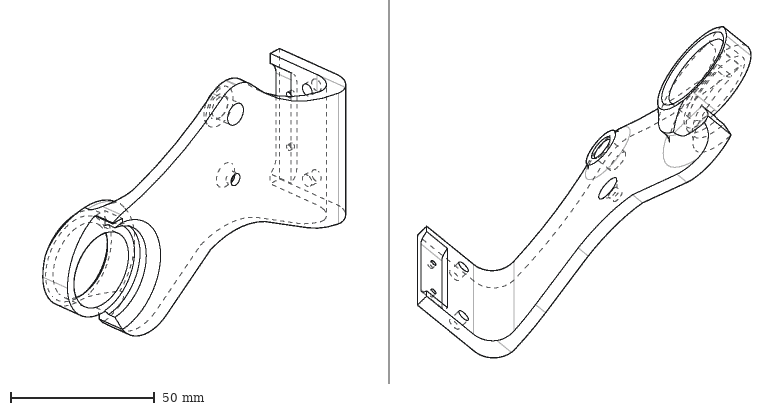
import cadquery as cq
import math

WIDTH = 36.8
LENGTH = 140.5
WALL = 4.8
PLATE_FACE = WIDTH - WALL
BEND_RADIUS = 10.0
OVERSHOOT = 1.4

FLANGE_BOTTOM = 2.1
FLANGE_TOP = 54.2
FLANGE_MID = (FLANGE_BOTTOM + FLANGE_TOP) / 2
POCKET_WIDTH = 9.8
POCKET_HEIGHT = 44.1
POCKET_DEPTH = 3.0
POCKET_END_RUN = 5.0
PIN_X = 6.0
PIN_SPACING = 21.1
PIN_DIAMETER = 2.1
SCREW_X = 17.4
SCREW_SPACING = 36.2
SCREW_DIAMETER = 4.5

RING_Y = 17.4
RING_Z = 28.2
RING_RADIUS = 17.4
RING_FRONT = 16.9
RING_BACK = 28.5
BORE_RADIUS = 14.0
BORE_CHAMFER = 1.8
CONE_RADIUS = 18.0
CONE_HEIGHT = 5.8
BOSS_RADIUS = CONE_RADIUS + CONE_HEIGHT
BOSS_FILLET = 7.9
CROWN_RADIUS = 26.0

RECESS_RADIUS = 21.5
OPENING_RADIUS = 23.0
RECESS_NECK = 18.0
RECESS_FLOOR_RADIUS = 17.1
RECESS_FLOOR_BEVEL = 1.8
LOBE_END_Y = 19.2
LOBE_FACE = 25.9
STEP_FILLET = 2.8
PLATE_END_Y = 14.3
PLATE_END_FILLET = 0.8

LOBE_RADIUS = 16.2
LOBE_Y = 32.5
LOBE_SLOPE = math.radians(36)

LOWER_CURVE_START_Y = 132.0
LOWER_CURVE_MID = (123.6, 3.8)
LOWER_CURVE_END = (114.6, 7.5)
ARCH_START = (92.7, 19.1)
ARCH_TOP_Z = 22.2
ARCH_END = (64.8, 19.7)
RING_SIDE_SAG = (44.7, 62.1)
EYE_RING_SIDE = (70.8, 77.8)
EYE_FLANGE_SIDE = (86.4, 76.3)
FLANGE_SIDE_SAG = (103.0, 63.5)
CROWN_START_ANGLE = math.radians(73)

EYE_Y = 77.5
EYE_Z = 68.4
EYE_FRONT = 28.8
EYE_FACE_RADIUS = 7.6
EYE_OUTER_RADIUS = 11.7
EYE_HOLE_RADIUS = 4.1
EYE_CHAMFER = 0.7
SINK_Z = 42.3
SINK_HOLE_RADIUS = 2.2
SINK_RADIUS = 4.6


def revolve_about_x(profile, y, z):
    """Revolve a closed (x, radius) profile about an axis along X through (y, z)."""
    return profile.close().revolve(360, (0, 0), (1, 0)).translate((0, y, z))


def cylinder_x(radius, x_start, x_end, y, z):
    return cq.Workplane("YZ", origin=(x_start, y, z)).circle(radius).extrude(x_end - x_start)


def box(x_range, y_range, z_range):
    size = [end - start for start, end in (x_range, y_range, z_range)]
    corner = (x_range[0], y_range[0], z_range[0])
    return cq.Workplane("XY").box(*size, centered=False).translate(corner)


def make_outline():
    """Side outline of the whole bracket, extruded across its width."""
    diagonal = math.sqrt(0.5)
    crown_y = CROWN_RADIUS
    ring_bottom = RING_Z - RING_RADIUS
    lobe_end_z = LOBE_RADIUS - math.sqrt(LOBE_RADIUS**2 - (LOBE_Y - LOBE_END_Y) ** 2)
    lobe_tangent = (
        LOBE_Y + LOBE_RADIUS * math.sin(LOBE_SLOPE),
        LOBE_RADIUS * (1 - math.cos(LOBE_SLOPE)),
    )
    crown_start = (
        crown_y - CROWN_RADIUS * math.cos(CROWN_START_ANGLE),
        RING_Z + CROWN_RADIUS * math.sin(CROWN_START_ANGLE),
    )
    return (
        cq.Workplane("YZ")
        .moveTo(LENGTH, FLANGE_BOTTOM)
        .lineTo(LOWER_CURVE_START_Y, FLANGE_BOTTOM)
        .threePointArc(LOWER_CURVE_MID, LOWER_CURVE_END)
        .lineTo(*ARCH_START)
        .threePointArc((EYE_Y, ARCH_TOP_Z), ARCH_END)
        .lineTo(*lobe_tangent)
        .threePointArc((LOBE_Y, 0), (LOBE_END_Y, lobe_end_z))
        .lineTo(LOBE_END_Y, ring_bottom)
        .lineTo(RING_Y, ring_bottom)
        .threePointArc(
            (RING_Y - RING_RADIUS * diagonal, RING_Z - RING_RADIUS * diagonal),
            (RING_Y - RING_RADIUS, RING_Z),
        )
        .threePointArc(
            (crown_y - CROWN_RADIUS * diagonal, RING_Z + CROWN_RADIUS * diagonal), crown_start
        )
        .threePointArc(RING_SIDE_SAG, EYE_RING_SIDE)
        .threePointArc((EYE_Y, EYE_Z + EYE_OUTER_RADIUS), EYE_FLANGE_SIDE)
        .threePointArc(FLANGE_SIDE_SAG, (LENGTH - WALL, FLANGE_TOP))
        .lineTo(LENGTH, FLANGE_TOP)
        .close()
        .extrude(WIDTH)
    )


def make_bent_sheet():
    """L-shaped section of plate and flange, tall enough to be trimmed by the outline."""
    height = EYE_Z + EYE_OUTER_RADIUS
    bend_y = LENGTH - WALL
    return (
        cq.Workplane("XY")
        .moveTo(0, LENGTH)
        .lineTo(WIDTH - BEND_RADIUS, LENGTH)
        .radiusArc((WIDTH, LENGTH - BEND_RADIUS), BEND_RADIUS)
        .lineTo(WIDTH, 0)
        .lineTo(PLATE_FACE, 0)
        .lineTo(PLATE_FACE, bend_y - BEND_RADIUS)
        .radiusArc((PLATE_FACE - BEND_RADIUS, bend_y), -BEND_RADIUS)
        .lineTo(0, bend_y)
        .close()
        .extrude(height)
    )


def make_ring_boss():
    """Conical boss that flows into the plate, cut back to a step over the lower lobe."""
    boss = revolve_about_x(
        cq.Workplane("XY")
        .moveTo(RING_FRONT, 0)
        .lineTo(RING_FRONT, CONE_RADIUS)
        .lineTo(RING_FRONT + CONE_HEIGHT, BOSS_RADIUS)
        .lineTo(PLATE_FACE - BOSS_FILLET, BOSS_RADIUS)
        .radiusArc((PLATE_FACE, BOSS_RADIUS + BOSS_FILLET), -BOSS_FILLET)
        .lineTo(WIDTH, BOSS_RADIUS + BOSS_FILLET)
        .lineTo(WIDTH, 0),
        RING_Y,
        RING_Z,
    )
    step_top = RING_Z - RING_RADIUS
    step = (
        cq.Workplane("XZ", origin=(0, LENGTH, 0))
        .moveTo(0, step_top)
        .lineTo(LOBE_FACE - STEP_FILLET, step_top)
        .radiusArc((LOBE_FACE, step_top - STEP_FILLET), STEP_FILLET)
        .lineTo(LOBE_FACE, -OVERSHOOT - BOSS_RADIUS)
        .lineTo(0, -OVERSHOOT - BOSS_RADIUS)
        .close()
        .extrude(LENGTH - RING_Y)
    )
    return boss.cut(step)


def make_recess():
    """Flared recess behind the ring, opened wider toward the free end."""
    flare = RECESS_RADIUS - RECESS_NECK
    flared = revolve_about_x(
        cq.Workplane("XY")
        .moveTo(RING_BACK, 0)
        .lineTo(RING_BACK, RECESS_FLOOR_RADIUS)
        .lineTo(RING_BACK + RECESS_FLOOR_BEVEL, RECESS_NECK)
        .lineTo(WIDTH - flare, RECESS_NECK)
        .lineTo(WIDTH, RECESS_RADIUS)
        .lineTo(WIDTH, 0),
        RING_Y,
        RING_Z,
    )
    opening = cylinder_x(OPENING_RADIUS, RING_BACK, WIDTH, RING_Y, RING_Z)
    free_end = box((0, WIDTH), (-LENGTH, LOBE_END_Y), (-LENGTH, LENGTH))
    clearance = box((RING_BACK, WIDTH), (-OVERSHOOT, PLATE_END_Y), (0, LENGTH))
    clearance = clearance.edges("<X and >Y").fillet(PLATE_END_FILLET)
    return flared.union(opening.intersect(free_end)).union(clearance)


def make_bore():
    chamfer_end = RING_FRONT + BORE_CHAMFER
    return revolve_about_x(
        cq.Workplane("XY")
        .moveTo(RING_FRONT, 0)
        .lineTo(RING_FRONT, BORE_RADIUS + BORE_CHAMFER)
        .lineTo(chamfer_end, BORE_RADIUS)
        .lineTo(WIDTH, BORE_RADIUS)
        .lineTo(WIDTH, 0),
        RING_Y,
        RING_Z,
    )


def make_eye():
    rise = PLATE_FACE - EYE_FRONT
    flare = EYE_OUTER_RADIUS - EYE_FACE_RADIUS
    return revolve_about_x(
        cq.Workplane("XY")
        .moveTo(EYE_FRONT, 0)
        .lineTo(EYE_FRONT, EYE_FACE_RADIUS)
        .radiusArc((PLATE_FACE, EYE_OUTER_RADIUS), -max(rise, flare))
        .lineTo(WIDTH, EYE_OUTER_RADIUS)
        .lineTo(WIDTH, 0),
        EYE_Y,
        EYE_Z,
    )


def countersunk_hole(face_x, face_radius, hole_radius, y, z):
    """Through hole along X with a 45 degree countersink at face_x."""
    sink_end = face_x + face_radius - hole_radius
    return revolve_about_x(
        cq.Workplane("XY")
        .moveTo(face_x, 0)
        .lineTo(face_x, face_radius)
        .lineTo(sink_end, hole_radius)
        .lineTo(WIDTH + OVERSHOOT, hole_radius)
        .lineTo(WIDTH + OVERSHOOT, 0),
        y,
        z,
    )


def make_pocket():
    """Shallow flange pocket with curved ends, open at the flange tip."""
    face_y = LENGTH - WALL
    floor_y = face_y + POCKET_DEPTH
    bottom = FLANGE_MID - POCKET_HEIGHT / 2
    top = FLANGE_MID + POCKET_HEIGHT / 2
    end_radius = (POCKET_END_RUN**2 + POCKET_DEPTH**2) / (2 * POCKET_DEPTH)
    return (
        cq.Workplane("YZ")
        .moveTo(face_y, bottom)
        .radiusArc((floor_y, bottom + POCKET_END_RUN), -end_radius)
        .lineTo(floor_y, top - POCKET_END_RUN)
        .radiusArc((face_y, top), -end_radius)
        .close()
        .extrude(POCKET_WIDTH)
    )


def flange_holes(x, spacing, diameter):
    """Pair of through holes along Y, centred on the flange height."""
    return (
        cq.Workplane("XZ", origin=(x, LENGTH + OVERSHOOT, FLANGE_MID))
        .pushPoints([(0, -spacing / 2), (0, spacing / 2)])
        .circle(diameter / 2)
        .extrude(WALL + 2 * OVERSHOOT)
    )


body = make_bent_sheet().union(make_ring_boss()).union(make_eye())
body = body.intersect(make_outline())
body = body.cut(make_recess()).cut(make_bore())
body = body.cut(
    countersunk_hole(EYE_FRONT, EYE_HOLE_RADIUS + EYE_CHAMFER, EYE_HOLE_RADIUS, EYE_Y, EYE_Z)
)
body = body.cut(countersunk_hole(PLATE_FACE, SINK_RADIUS, SINK_HOLE_RADIUS, EYE_Y, SINK_Z))
body = body.cut(make_pocket())
body = body.cut(flange_holes(PIN_X, PIN_SPACING, PIN_DIAMETER))
result = body.cut(flange_holes(SCREW_X, SCREW_SPACING, SCREW_DIAMETER))